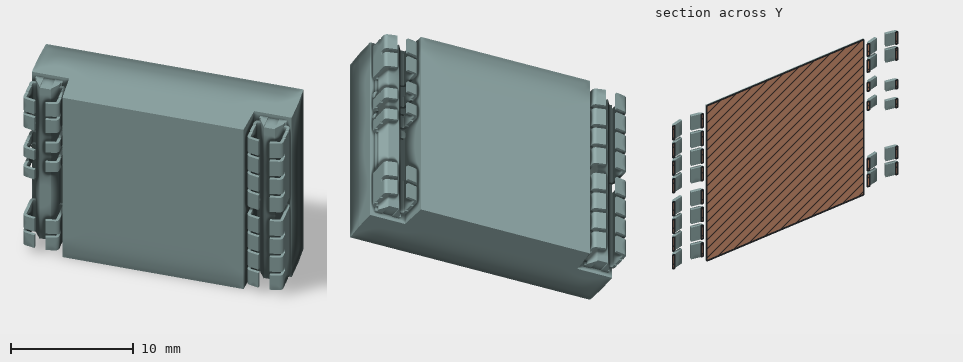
import cadquery as cq
import math


width = 22.01
height = 16.5
depth = 6.76
back_taper = 0.1
taper_depth = 1.86
shoulder_depth = 3.85
body_depth = 6.45
recess_width = 3.17
recess_draft = 0.16

rail_width = 3.03
pad_width = 2.28
wing_width = 1.98
keel_width = 0.95
pad_depth = 4.12
wing_depth = 4.37
keel_depth = 5.13
rail_height = 15.76
keel_setback = 0.08

sheet = 0.25
inner_bend = 0.1
outer_bend = inner_bend + sheet
foot_tilt = math.radians(12)
foot_reach = 1.03
slot_width = 0.37
slot_depth = 5.8
slot_corner_radius = 0.13
nick_radius = 0.1
nick_depths = (4.83, 5.74)

single_width = 0.96
group_width = 3.02
group_centre = 6.07
bank_width = 7.11
bank_centre = 4.025
outer_single_centres = (2.0, 0.0)
inner_single_centres = (3.0, 1.0)

outer_stubs = ((3.02, 0.66, 0.26), (1.0, 0.46, 0.22))
inner_stubs = ((2.02, 0.38, 0.15), (-0.12, 0.68, 0.2))
stub_clearance = 0.08

wire_hole_diameter = 0.1
wire_hole_depth = 4.0
wire_hole_heights = (7, 6, 5, 3, 2, 1, 0, -5, -6, -7)

half_width = width / 2
half_rail = rail_width / 2
plate_end = (rail_width - wing_width) / 2
rail_centre = half_width - half_rail


def make_body():
    """T-shaped body, narrower at the front between the two recesses."""
    back = half_width - back_taper
    recess = half_width - recess_width
    front = recess - recess_draft
    half = [
        (back, 0),
        (half_width, -taper_depth),
        (half_width, -shoulder_depth),
        (recess, -shoulder_depth),
        (front, -body_depth),
    ]
    mirrored = [(-x, y) for x, y in reversed(half)]
    return cq.Workplane("XY").polyline(half + mirrored).close().extrude(height / 2, both=True)


def make_rail():
    """Pad with sloped wings on both sides of a slightly shorter keel, centred on X = 0."""
    half_keel = keel_width / 2
    half = [
        (half_keel, -shoulder_depth),
        (pad_width / 2, -shoulder_depth),
        (pad_width / 2, -pad_depth),
        (wing_width / 2, -pad_depth),
        (wing_width / 2, -wing_depth),
        (half_keel, -keel_depth),
    ]
    wing = cq.Workplane("XY").polyline(half).close().extrude(rail_height / 2, both=True)
    keel = cq.Workplane("XY").box(
        keel_width,
        keel_depth - shoulder_depth,
        rail_height - 2 * keel_setback,
        centered=(True, False, True),
    ).translate((0, -keel_depth, 0))
    return keel.union(wing).union(wing.mirror("YZ"))


def contact_strip(strip_width):
    """Bent sheet with its outer face at X = 0, extending toward +X, centred on Z = 0."""
    sin_tilt = math.sin(foot_tilt)
    cos_tilt = math.cos(foot_tilt)
    top_y = -(pad_depth + outer_bend)
    foot_run = (foot_reach - outer_bend + outer_bend * sin_tilt) / cos_tilt
    bottom_y = -depth + outer_bend * cos_tilt + foot_run * sin_tilt

    def on_bend(centre_y, radius, angle):
        return outer_bend + radius * math.cos(angle), centre_y + radius * math.sin(angle)

    upper_mid = math.radians(135)
    foot_start = math.radians(270) - foot_tilt
    lower_mid = (math.pi + foot_start) / 2
    foot_x, foot_y = on_bend(bottom_y, outer_bend, foot_start)
    tip = (foot_x + foot_run * cos_tilt, foot_y - foot_run * sin_tilt)
    tip_inside = (tip[0] + sheet * sin_tilt, tip[1] + sheet * cos_tilt)
    profile = (
        cq.Workplane("XY")
        .moveTo(plate_end, -pad_depth)
        .lineTo(outer_bend, -pad_depth)
        .threePointArc(on_bend(top_y, outer_bend, upper_mid), (0, top_y))
        .lineTo(0, bottom_y)
        .threePointArc(on_bend(bottom_y, outer_bend, lower_mid), (foot_x, foot_y))
        .lineTo(*tip)
        .lineTo(*tip_inside)
        .lineTo(*on_bend(bottom_y, inner_bend, foot_start))
        .threePointArc(on_bend(bottom_y, inner_bend, lower_mid), (sheet, bottom_y))
        .lineTo(sheet, top_y)
        .threePointArc(on_bend(top_y, inner_bend, upper_mid), (outer_bend, -pad_depth - sheet))
        .lineTo(plate_end, -pad_depth - sheet)
        .close()
    )
    return profile.extrude(strip_width / 2, both=True)


def make_contact(centre, contact_width, feet, nick_top, nick_bottom):
    """Contact with evenly pitched feet and half-round nicks on the chosen end edges."""
    contact = contact_strip(contact_width)
    slot_pitch = (contact_width + slot_width) / feet
    slot_length = depth - slot_depth
    slot_reach = foot_reach + sheet
    slot = cq.Workplane("XY").box(slot_reach, slot_length, slot_width, centered=(False, False, True))
    slot = slot.faces(">Y").edges("|X").fillet(slot_corner_radius)
    for index in range(1, feet):
        slot_z = index * slot_pitch - (slot_width + contact_width) / 2
        contact = contact.cut(slot.translate((0, -depth, slot_z)))
    nick_edges = []
    if nick_top:
        nick_edges.append(contact_width / 2)
    if nick_bottom:
        nick_edges.append(-contact_width / 2)
    for edge_z in nick_edges:
        nicks = (
            cq.Workplane("YZ")
            .pushPoints([(-nick_depth, edge_z) for nick_depth in nick_depths])
            .circle(nick_radius)
            .extrude(sheet)
        )
        contact = contact.cut(nicks)
    return contact.translate((0, 0, centre))


def make_stub(centre, stub_width, corner_radius):
    """Flat stub with rounded outer corners, lying on the pad beside the keel."""
    stub_length = plate_end - stub_clearance
    stub = cq.Workplane("XY").box(stub_length, sheet, stub_width, centered=(False, False, True))
    stub = stub.edges("|Y and <X").fillet(corner_radius)
    return stub.translate((stub_clearance, -pad_depth - sheet, centre))


def make_end_pair(centre, contact_width, feet):
    """Equal contacts near both ends of a rail, nicked on their far ends."""
    return [
        make_contact(centre, contact_width, feet, True, False),
        make_contact(-centre, contact_width, feet, False, True),
    ]


def make_mixed_row(single_centres, stubs):
    """Two-foot contacts at the ends, with single contacts and stubs between them."""
    row = make_end_pair(group_centre, group_width, 2)
    for centre in single_centres:
        row.append(make_contact(centre, single_width, 1, True, True))
    for stub in stubs:
        row.append(make_stub(*stub))
    return row


def populate_rail(left_row, right_row):
    """Rail centred on X = 0 with one row of contacts on each side."""
    rail = make_rail()
    for piece in left_row:
        rail = rail.union(piece.translate((-half_rail, 0, 0)))
    for piece in right_row:
        rail = rail.union(piece.mirror("YZ").translate((half_rail, 0, 0)))
    return rail


def make_wire_holes():
    """Round cutters crossing the rail centred on X = 0."""
    return (
        cq.Workplane("YZ")
        .pushPoints([(-wire_hole_depth, hole_z) for hole_z in wire_hole_heights])
        .circle(wire_hole_diameter / 2)
        .extrude(half_rail, both=True)
    )


mixed_rail = populate_rail(
    make_mixed_row(outer_single_centres, outer_stubs),
    make_mixed_row(inner_single_centres, inner_stubs),
).cut(make_wire_holes())
bank_row = make_end_pair(bank_centre, bank_width, 4)
bank_rail = populate_rail(bank_row, bank_row)

result = (
    make_body()
    .union(mixed_rail.translate((-rail_centre, 0, 0)))
    .union(bank_rail.translate((rail_centre, 0, 0)))
)